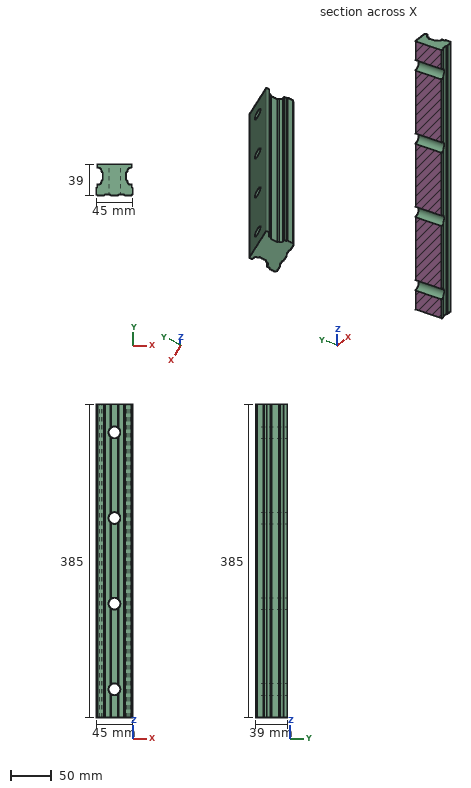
import cadquery as cq

length = 385.0
height = 39.0
base_width = 45.0

base_chamfer = 2.0
base_side_top = 9.2
shoulder_top = 10.5

head_width = 42.7
head_bottom = 34.5
head_corner = 0.8

groove_middle = 24.0
waist_width = 29.0
waist_half_height = 4.2
raceway_start_width = 32.5
raceway_start_height = 6.0
raceway_end_width = 37.0
raceway_end_height = 10.0
raceway_bow = 0.8

channel_depth = 1.0
channel_inner = 4.0
channel_outer = 13.0
channel_slope = 1.5

hole_diameter = 14.2
hole_count = 4
hole_pitch = 105.0


def right_half():
    half_base = base_width / 2
    half_head = head_width / 2
    half_waist = waist_width / 2
    half_start = raceway_start_width / 2
    half_end = raceway_end_width / 2
    return (
        cq.Workplane("XY")
        .lineTo(half_base - base_chamfer, 0)
        .lineTo(half_base, base_chamfer)
        .lineTo(half_base, base_side_top)
        .lineTo(half_head, shoulder_top)
        .lineTo(half_head, groove_middle - raceway_end_height)
        .lineTo(half_end, groove_middle - raceway_end_height)
        .sagittaArc((half_start, groove_middle - raceway_start_height), raceway_bow)
        .lineTo(half_waist, groove_middle - waist_half_height)
        .lineTo(half_waist, groove_middle + waist_half_height)
        .lineTo(half_start, groove_middle + raceway_start_height)
        .sagittaArc((half_end, groove_middle + raceway_end_height), raceway_bow)
        .lineTo(half_head, head_bottom)
        .lineTo(half_head, height - head_corner)
        .radiusArc((half_head - head_corner, height), -head_corner)
        .lineTo(0, height)
        .close()
        .extrude(length)
    )


def right_channel():
    return (
        cq.Workplane("XY")
        .moveTo(channel_inner, 0)
        .lineTo(channel_inner + channel_slope, channel_depth)
        .lineTo(channel_outer - channel_slope, channel_depth)
        .lineTo(channel_outer, 0)
        .close()
        .extrude(length)
    )


def mounting_hole(z):
    return (
        cq.Workplane("XZ", origin=(0, 0, z))
        .circle(hole_diameter / 2)
        .extrude(-height)
    )


half = right_half().cut(right_channel())
rail = half.union(half.mirror("YZ"))

first_hole = (length - (hole_count - 1) * hole_pitch) / 2
for index in range(hole_count):
    rail = rail.cut(mounting_hole(first_hole + index * hole_pitch))

result = rail